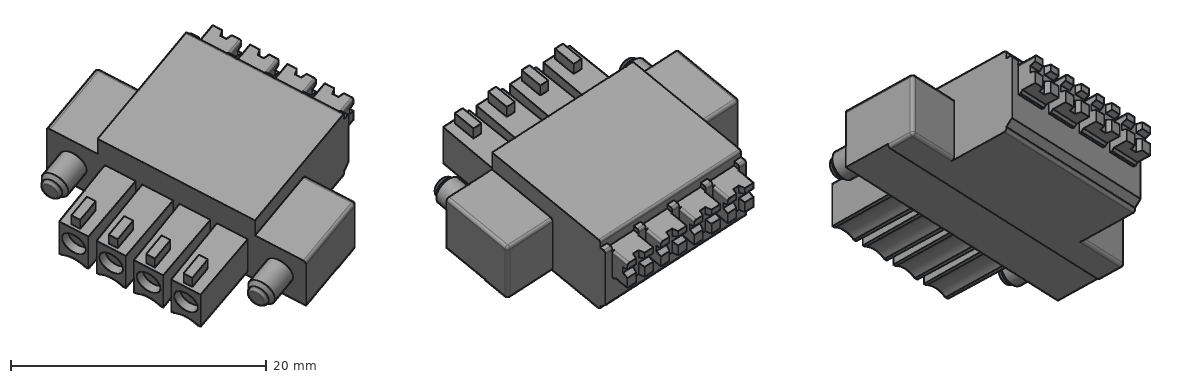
import cadquery as cq


POLE_COUNT = 4
POLE_PITCH = 3.5
POLE_AXIS_Z = 3.05
POLE_X = [(i - (POLE_COUNT - 1) / 2) * POLE_PITCH for i in range(POLE_COUNT)]

BODY_WIDTH = 14.75
BODY_LENGTH = 13.36
BODY_HEIGHT = 7.8
LEDGE_DEPTH = 0.6
LEDGE_Z = 7.05
BACK_CHAMFER_TOP = 0.95
BACK_CHAMFER_BOTTOM = 0.4
BODY_EDGE_RADIUS = 0.22

FLANGE_WIDTH = 24.3
FLANGE_LENGTH = 7.17
FLANGE_HEIGHT = 5.88
FLANGE_EDGE_RADIUS = 0.3

UNDERSIDE_STEP = 0.3
UNDERSIDE_STEP_LENGTH = 4.52

PLUG_LENGTH = 6.63
PLUG_ROOT_WIDTH = 2.9
PLUG_TIP_WIDTH = 2.75
PLUG_BOTTOM_Z = 0.83
PLUG_TOP_Z = 4.93
SOCKET_MOUTH_DIAMETER = 2.2
SOCKET_FLOOR_DIAMETER = 2.07
SOCKET_DEPTH = 0.75
GROOVE_WIDTH = 2.19
GROOVE_DEPTH = 0.32

KEY_WIDTH = 0.83
KEY_LENGTH = 2.2
KEY_HEIGHT = 1.15
KEY_TIP_GAP = 0.3

SCREW_X = 9.67
SCREW_RADIUS = 1.26
SCREW_SHANK_LENGTH = 2.58
SCREW_TIP_RADIUS = 0.92
SCREW_CONE_LENGTH = 0.36
SCREW_LENGTH = 3.3
SCREW_TIP_FILLET = 0.22

LEVER_WIDTH = 2.7
LEVER_SLOT_WIDTH = 2.8
LEVER_END_Y = 15.16
LEVER_BOTTOM_Z = 3.85
LEVER_TOP_Z = 6.59
FLARE_LENGTH = 0.44
FLARE_DROP = 0.22
LEVER_EDGE_RADIUS = 0.22
NOTCH_DEPTH = 0.53
TOP_NOTCH_MOUTH = 0.9
TOP_NOTCH_FLOOR = 0.58
SIDE_NOTCH_MOUTH = 0.97
SIDE_NOTCH_FLOOR = 0.6
SIDE_NOTCH_Z = 5.45

LEDGE_Y = BODY_LENGTH - LEDGE_DEPTH


def box(x_range, y_range, z_range):
    """Axis-aligned box between the given limits."""
    lows, highs = zip(x_range, y_range, z_range)
    sizes = [high - low for low, high in zip(lows, highs)]
    return cq.Workplane("XY").box(*sizes, centered=False).translate(lows)


def side_extrusion(outline, width):
    """Extrude a (y, z) outline symmetrically about x = 0."""
    return cq.Workplane("YZ").polyline(outline).close().extrude(width / 2, both=True)


def make_body():
    outline = [
        (0, 0),
        (LEDGE_Y, 0),
        (LEDGE_Y, BACK_CHAMFER_BOTTOM),
        (BODY_LENGTH, BACK_CHAMFER_TOP),
        (BODY_LENGTH, LEDGE_Z),
        (LEDGE_Y, LEDGE_Z),
        (LEDGE_Y, BODY_HEIGHT),
        (0, BODY_HEIGHT),
    ]
    body = side_extrusion(outline, BODY_WIDTH)
    for y, z in [(LEDGE_Y, 0), (BODY_LENGTH, LEDGE_Z), (LEDGE_Y, BODY_HEIGHT)]:
        edge = cq.selectors.NearestToPointSelector((0, y, z))
        body = body.edges("|X").edges(edge).fillet(BODY_EDGE_RADIUS)
    for x in POLE_X:
        body = body.cut(
            box(
                (x - LEVER_SLOT_WIDTH / 2, x + LEVER_SLOT_WIDTH / 2),
                (LEDGE_Y, BODY_LENGTH),
                (LEVER_TOP_Z, LEDGE_Z),
            )
        )
    return body


def make_flanges():
    half_width = FLANGE_WIDTH / 2
    bar = box((-half_width, half_width), (0, FLANGE_LENGTH), (0, FLANGE_HEIGHT))
    return bar.edges("not <Y").fillet(FLANGE_EDGE_RADIUS)


def make_underside_step():
    half_width = FLANGE_WIDTH / 2
    return box((-half_width, half_width), (0, UNDERSIDE_STEP_LENGTH), (0, UNDERSIDE_STEP))


def make_plug(x):
    plug = (
        cq.Workplane("XY", origin=(x, 0, PLUG_BOTTOM_Z))
        .moveTo(-PLUG_ROOT_WIDTH / 2, 0)
        .lineTo(-PLUG_TIP_WIDTH / 2, -PLUG_LENGTH)
        .lineTo(PLUG_TIP_WIDTH / 2, -PLUG_LENGTH)
        .lineTo(PLUG_ROOT_WIDTH / 2, 0)
        .close()
        .extrude(PLUG_TOP_Z - PLUG_BOTTOM_Z)
    )
    groove = (
        cq.Workplane("XZ", origin=(x, 0, PLUG_BOTTOM_Z))
        .moveTo(-GROOVE_WIDTH / 2, 0)
        .threePointArc((0, GROOVE_DEPTH), (GROOVE_WIDTH / 2, 0))
        .close()
        .extrude(PLUG_LENGTH)
    )
    socket = (
        cq.Workplane("XZ", origin=(x, -PLUG_LENGTH, POLE_AXIS_Z))
        .circle(SOCKET_MOUTH_DIAMETER / 2)
        .workplane(offset=-SOCKET_DEPTH)
        .circle(SOCKET_FLOOR_DIAMETER / 2)
        .loft()
    )
    key_front = -PLUG_LENGTH + KEY_TIP_GAP
    key = box(
        (x - KEY_WIDTH / 2, x + KEY_WIDTH / 2),
        (key_front, key_front + KEY_LENGTH),
        (PLUG_TOP_Z, PLUG_TOP_Z + KEY_HEIGHT),
    )
    return plug.cut(groove).cut(socket).union(key)


def make_screw(x):
    cone_end = SCREW_SHANK_LENGTH + SCREW_CONE_LENGTH
    half_section = [
        (0, 0),
        (SCREW_RADIUS, 0),
        (SCREW_RADIUS, -SCREW_SHANK_LENGTH),
        (SCREW_TIP_RADIUS, -cone_end),
        (SCREW_TIP_RADIUS, -SCREW_LENGTH),
        (0, -SCREW_LENGTH),
    ]
    screw = cq.Workplane("XY").polyline(half_section).close().revolve(360, (0, 0), (0, 1))
    screw = screw.faces("<Y").edges().fillet(SCREW_TIP_FILLET)
    return screw.translate((x, 0, POLE_AXIS_Z))


def notch_outline(plane, mouth, floor):
    """Tapered notch cut inwards from the end of a lever, drawn on the given plane."""
    return plane.polyline(
        [(-mouth / 2, 0), (-floor / 2, -NOTCH_DEPTH), (floor / 2, -NOTCH_DEPTH), (mouth / 2, 0)]
    ).close()


def make_lever(x):
    right = x + LEVER_SLOT_WIDTH / 2
    left = right - LEVER_WIDTH
    lever = box((left, right), (BODY_LENGTH, LEVER_END_Y), (LEVER_BOTTOM_Z, LEVER_TOP_Z))
    lever = lever.edges(">X and >Z").fillet(LEVER_EDGE_RADIUS)
    flare = (
        cq.Workplane("YZ", origin=(left, BODY_LENGTH, LEVER_BOTTOM_Z))
        .lineTo(0, -FLARE_DROP)
        .lineTo(FLARE_LENGTH - FLARE_DROP, -FLARE_DROP)
        .lineTo(FLARE_LENGTH, 0)
        .close()
        .extrude(LEVER_WIDTH)
    )
    top_plane = cq.Workplane("XY", origin=((left + right) / 2, LEVER_END_Y, LEVER_BOTTOM_Z))
    top_notch = notch_outline(top_plane, TOP_NOTCH_MOUTH, TOP_NOTCH_FLOOR)
    top_notch = top_notch.extrude(LEVER_TOP_Z - LEVER_BOTTOM_Z)
    side_plane = cq.Workplane("ZY", origin=(right, LEVER_END_Y, SIDE_NOTCH_Z))
    side_notch = notch_outline(side_plane, SIDE_NOTCH_MOUTH, SIDE_NOTCH_FLOOR)
    side_notch = side_notch.extrude(LEVER_WIDTH)
    return lever.union(flare).cut(top_notch).cut(side_notch)


result = make_body().union(make_flanges()).cut(make_underside_step())
for pole_x in POLE_X:
    result = result.union(make_plug(pole_x)).union(make_lever(pole_x))
for screw_x in (-SCREW_X, SCREW_X):
    result = result.union(make_screw(screw_x))